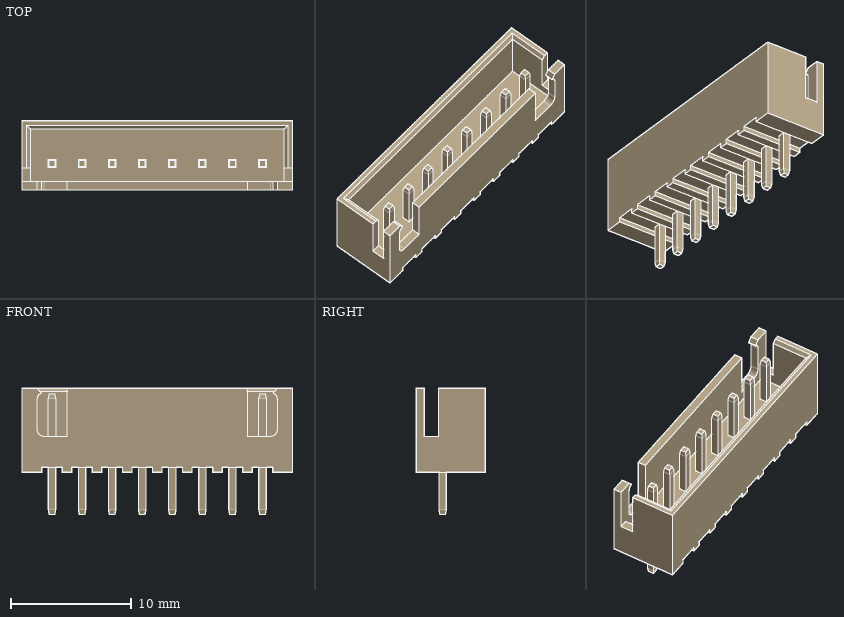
import cadquery as cq
import math

LENGTH = 22.5
DEPTH = 5.75
HEIGHT = 7.0
WALL = 0.7
FLOOR_THICKNESS = 2.0
SILL_DROP = 4.0

BEVEL_WIDTH = 0.32
BEVEL_HEIGHT = 0.27

SIDE_SLOT_WIDTH = 1.15

WINDOW_OUTER = 1.25
WINDOW_INNER = 3.75
WINDOW_RADIUS = 0.58
WINDOW_ROUND_TOP = 0.35
MOUTH_OUTER = 1.25
LIP_DROP = 0.4

PIN_COUNT = 8
PIN_PITCH = LENGTH / (PIN_COUNT + 1)
PIN_WIDTH = 0.63
PIN_Y = 2.2
PIN_TOP_DROP = 0.47
PIN_BELOW = 3.5
TIP_LENGTH = 0.4
TIP_WIDTH = 0.47

NOTCH_WIDTH = 1.69
NOTCH_HEIGHT = 0.4

SILL_Z = HEIGHT - SILL_DROP
PIN_XS = [(i - (PIN_COUNT - 1) / 2) * PIN_PITCH for i in range(PIN_COUNT)]


def block(x_min, x_max, y_min, y_max, z_min, z_max):
    size = (x_max - x_min, y_max - y_min, z_max - z_min)
    return cq.Workplane("XY").box(*size, centered=False).translate((x_min, y_min, z_min))


def make_shell():
    """Plain box with its cavity."""
    half = LENGTH / 2
    inner_half = half - WALL
    body = block(-half, half, 0, DEPTH, 0, HEIGHT)
    cavity = block(-inner_half, inner_half, WALL, DEPTH - WALL, FLOOR_THICKNESS, HEIGHT)
    return body.cut(cavity)


def make_rim_bevel():
    """Tapered cutter for the back and end walls, cut off behind the front wall."""
    inner_length = LENGTH - 2 * WALL
    inner_depth = DEPTH - 2 * WALL
    taper = (
        cq.Workplane("XY", origin=(0, DEPTH / 2, HEIGHT - BEVEL_HEIGHT))
        .rect(inner_length, inner_depth)
        .workplane(offset=BEVEL_HEIGHT)
        .rect(inner_length + 2 * BEVEL_WIDTH, inner_depth + 2 * BEVEL_WIDTH)
        .loft(ruled=True)
    )
    return taper.intersect(block(-LENGTH / 2, LENGTH / 2, WALL, DEPTH, 0, HEIGHT))


def make_side_slots():
    return block(-LENGTH / 2, LENGTH / 2, WALL, WALL + SIDE_SLOT_WIDTH, SILL_Z, HEIGHT)


def make_left_window():
    """Window with a square inner side, and a rounded outer side that ends in a lip."""
    end = -LENGTH / 2
    outer = end + WINDOW_OUTER
    inner = end + WINDOW_INNER
    mouth = end + MOUTH_OUTER
    arc_x = outer + WINDOW_RADIUS
    low_arc_z = SILL_Z + WINDOW_RADIUS
    high_arc_z = HEIGHT - WINDOW_ROUND_TOP - WINDOW_RADIUS
    diagonal = WINDOW_RADIUS * math.sqrt(0.5)

    lip_z = HEIGHT - LIP_DROP
    lip_angle = math.asin((lip_z - high_arc_z) / WINDOW_RADIUS)
    lip_x = arc_x - WINDOW_RADIUS * math.cos(lip_angle)
    mid_x = arc_x - WINDOW_RADIUS * math.cos(lip_angle / 2)
    mid_z = high_arc_z + WINDOW_RADIUS * math.sin(lip_angle / 2)

    return (
        cq.Workplane("XZ")
        .moveTo(inner, HEIGHT)
        .lineTo(mouth, HEIGHT)
        .lineTo(lip_x, lip_z)
        .threePointArc((mid_x, mid_z), (outer, high_arc_z))
        .lineTo(outer, low_arc_z)
        .threePointArc((arc_x - diagonal, low_arc_z - diagonal), (arc_x, SILL_Z))
        .lineTo(inner, SILL_Z)
        .close()
        .extrude(-WALL)
    )


def make_tip(x, base_z, direction):
    """Tapered pin end; direction is 1 for upward and -1 for downward."""
    return (
        cq.Workplane("XY", origin=(x, PIN_Y, base_z))
        .rect(PIN_WIDTH, PIN_WIDTH)
        .workplane(offset=direction * TIP_LENGTH)
        .rect(TIP_WIDTH, TIP_WIDTH)
        .loft(ruled=True)
    )


def make_pin(x):
    half = PIN_WIDTH / 2
    low_z = -PIN_BELOW + TIP_LENGTH
    high_z = HEIGHT - PIN_TOP_DROP - TIP_LENGTH
    shank = block(x - half, x + half, PIN_Y - half, PIN_Y + half, low_z, high_z)
    return shank.union(make_tip(x, low_z, -1)).union(make_tip(x, high_z, 1))


def make_notch(x):
    return block(x - NOTCH_WIDTH / 2, x + NOTCH_WIDTH / 2, 0, DEPTH, 0, NOTCH_HEIGHT)


left_window = make_left_window()
result = make_shell().cut(make_rim_bevel()).cut(make_side_slots())
result = result.cut(left_window).cut(left_window.mirror("YZ"))
for pin_x in PIN_XS:
    result = result.cut(make_notch(pin_x)).union(make_pin(pin_x))